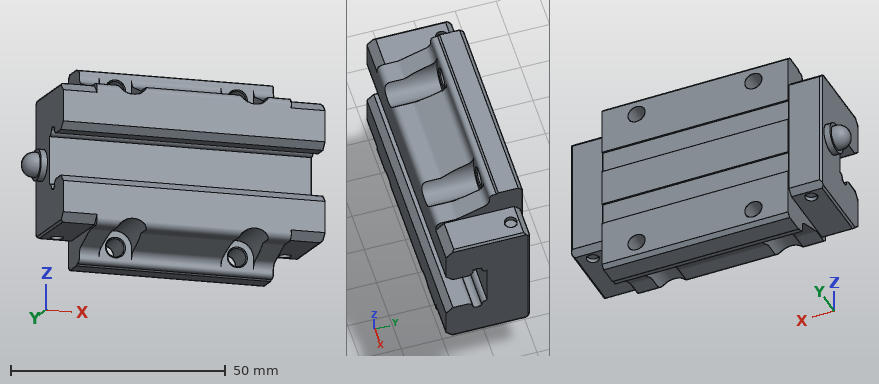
import cadquery as cq
import math


block_length = 47.75
block_height = 21.0
block_width = 47.0
mount_chamfer = 1.0
flange_face_y = 13.05
flange_step_y = 15.2
flange_step_height = 0.35
flange_step_width = 0.5
flange_edge_radius = 1.0
flange_root_radius = 2.0
body_half_width = 17.1
slope_angle = 20
slope_start_y = 5.1
slope_end_radius = 2.0
rail_edge_radius = 1.5

groove_depth = 0.4
groove_inner_z = 4.8
groove_outer_z = 10.5

screw_hole_diameter = 4.4
screw_hole_chamfer = 0.3
screw_spacing_x = 30.0
screw_z = 18.9
screw_pocket_width = 8.0

cap_length = 8.3
cap_height = 20.5
cap_half_width = 16.65
cap_mount_chamfer = 1.45
cap_rail_chamfer = 2.0
cap_end_chamfer = 0.5
cap_hole_diameter = 3.0
cap_hole_depth = 1.05
cap_hole_y = 17.0

slot_half_width = 5.5
slot_depth = 10.0
slot_mouth_chamfer = 1.7
ball_groove_y = 7.6
ball_groove_width = 2.1
ball_groove_edge_z = 7.0
ball_groove_top_z = 7.5

nipple_y = 15.35
nipple_collar_diameter = 7.5
nipple_collar_length = 1.5
nipple_head_diameter = 6.0
nipple_length = 5.0

block_half_width = block_width / 2
carriage_length = block_length + 2 * cap_length


def prism_along_x(outline, length):
    """Closed outline of (Y, Z) points, extruded to both sides of X = 0."""
    return cq.Workplane("YZ").polyline(outline).close().extrude(length / 2, both=True)


def round_long_edge(body, y, z, radius):
    """Fillet the edge along X that passes nearest to the given Y and Z."""
    nearest = cq.selectors.NearestToPointSelector((0, y, z))
    return body.edges("|X").edges(nearest).fillet(radius)


def half_block():
    flange_outer_z = block_half_width - flange_step_height
    slope_rise = (flange_face_y - slope_start_y) * math.tan(math.radians(slope_angle))
    flange_root_z = body_half_width + slope_rise
    block = prism_along_x(
        [
            (0, 0),
            (0, body_half_width),
            (slope_start_y, body_half_width),
            (flange_face_y, flange_root_z),
            (flange_face_y, flange_outer_z),
            (flange_step_y - flange_step_width, flange_outer_z),
            (flange_step_y, block_half_width),
            (block_height - mount_chamfer, block_half_width),
            (block_height, block_half_width - mount_chamfer),
            (block_height, groove_outer_z),
            (block_height - groove_depth, groove_outer_z),
            (block_height - groove_depth, groove_inner_z),
            (block_height, groove_inner_z),
            (block_height, 0),
        ],
        block_length,
    )
    block = round_long_edge(block, 0, body_half_width, rail_edge_radius)
    block = round_long_edge(block, slope_start_y, body_half_width, slope_end_radius)
    block = round_long_edge(block, flange_face_y, flange_root_z, flange_root_radius)
    block = round_long_edge(block, flange_face_y, flange_outer_z, flange_edge_radius)
    for screw_x in (-screw_spacing_x / 2, screw_spacing_x / 2):
        block = block.cut(screw_pocket(screw_x)).cut(screw_hole(screw_x))
    return block


def screw_pocket(screw_x):
    """Round-ended pocket from the rail side to the flange, open towards the flange's edge."""
    radius = screw_pocket_width / 2
    round_end = cq.Workplane("XZ", origin=(screw_x, 0, screw_z)).circle(radius).extrude(-flange_face_y)
    open_end = cq.Workplane("XY").box(
        screw_pocket_width, flange_face_y, block_half_width, centered=(True, False, False)
    )
    return round_end.union(open_end.translate((screw_x, 0, screw_z)))


def screw_hole(screw_x):
    """Through hole in the flange, chamfered at its rail-side end."""
    hole_radius = screw_hole_diameter / 2
    entry_radius = hole_radius + screw_hole_chamfer
    return (
        cq.Workplane("XY")
        .moveTo(0, flange_face_y)
        .lineTo(entry_radius, flange_face_y)
        .lineTo(hole_radius, flange_face_y + screw_hole_chamfer)
        .lineTo(hole_radius, block_height)
        .lineTo(0, block_height)
        .close()
        .revolve(360, (0, 0, 0), (0, 1, 0))
        .translate((screw_x, 0, screw_z))
    )


def half_cap():
    """End cap on the +X end; its outer end is bevelled along the side and the mounting face."""
    cap_start = block_length / 2
    blank = (
        cq.Workplane("XY")
        .box(cap_length, cap_height, cap_half_width, centered=False)
        .translate((cap_start, 0, 0))
    )
    blank = blank.edges("(>X and >Y) or (>X and >Z)").chamfer(cap_end_chamfer)
    outline = [
        (0, 0),
        (0, cap_half_width - cap_rail_chamfer),
        (cap_rail_chamfer, cap_half_width),
        (cap_height - cap_mount_chamfer, cap_half_width),
        (cap_height, cap_half_width - cap_mount_chamfer),
        (cap_height, 0),
    ]
    cap = blank.intersect(prism_along_x(outline, carriage_length))
    hole_x = (block_length + cap_length) / 2
    hole = (
        cq.Workplane("XY", origin=(hole_x, cap_hole_y, cap_half_width))
        .circle(cap_hole_diameter / 2)
        .extrude(-cap_hole_depth)
    )
    return cap.cut(hole)


def half_rail_slot():
    """Upper half of the rail slot; quarter rounds lead from its wall and floor into the ball groove."""
    mouth_z = slot_half_width + slot_mouth_chamfer
    mouth_edge_y = ball_groove_y - ball_groove_width / 2
    floor_edge_y = ball_groove_y + ball_groove_width / 2
    lip_radius = ball_groove_edge_z - slot_half_width
    lip_y = mouth_edge_y - lip_radius
    ridge_radius = slot_depth - floor_edge_y
    diagonal = math.sqrt(0.5)
    lip_middle = (lip_y + lip_radius * diagonal, ball_groove_edge_z - lip_radius * diagonal)
    ridge_middle = (slot_depth - ridge_radius * diagonal, ball_groove_edge_z - ridge_radius * diagonal)
    return (
        cq.Workplane("YZ")
        .lineTo(0, mouth_z)
        .lineTo(slot_mouth_chamfer, slot_half_width)
        .lineTo(lip_y, slot_half_width)
        .threePointArc(lip_middle, (mouth_edge_y, ball_groove_edge_z))
        .threePointArc((ball_groove_y, ball_groove_top_z), (floor_edge_y, ball_groove_edge_z))
        .threePointArc(ridge_middle, (slot_depth, ball_groove_edge_z - ridge_radius))
        .lineTo(slot_depth, 0)
        .close()
        .extrude(carriage_length / 2, both=True)
    )


def make_carriage():
    cap = half_cap()
    half = half_block().union(cap).union(cap.mirror("YZ"))
    half_slot = half_rail_slot()
    slot = half_slot.union(half_slot.mirror("XY"))
    return half.union(half.mirror("XY")).cut(slot)


def make_nipple():
    head_radius = nipple_head_diameter / 2
    neck_length = nipple_length - head_radius
    return (
        cq.Workplane("XY")
        .lineTo(0, nipple_collar_diameter / 2)
        .lineTo(-nipple_collar_length, nipple_collar_diameter / 2)
        .lineTo(-nipple_collar_length, head_radius)
        .lineTo(-neck_length, head_radius)
        .radiusArc((-nipple_length, 0), -head_radius)
        .close()
        .revolve(360, (0, 0, 0), (1, 0, 0))
        .translate((-carriage_length / 2, nipple_y, 0))
    )


carriage = make_carriage()
nipple = make_nipple()
result = cq.Compound.makeCompound([carriage.val(), nipple.val()])